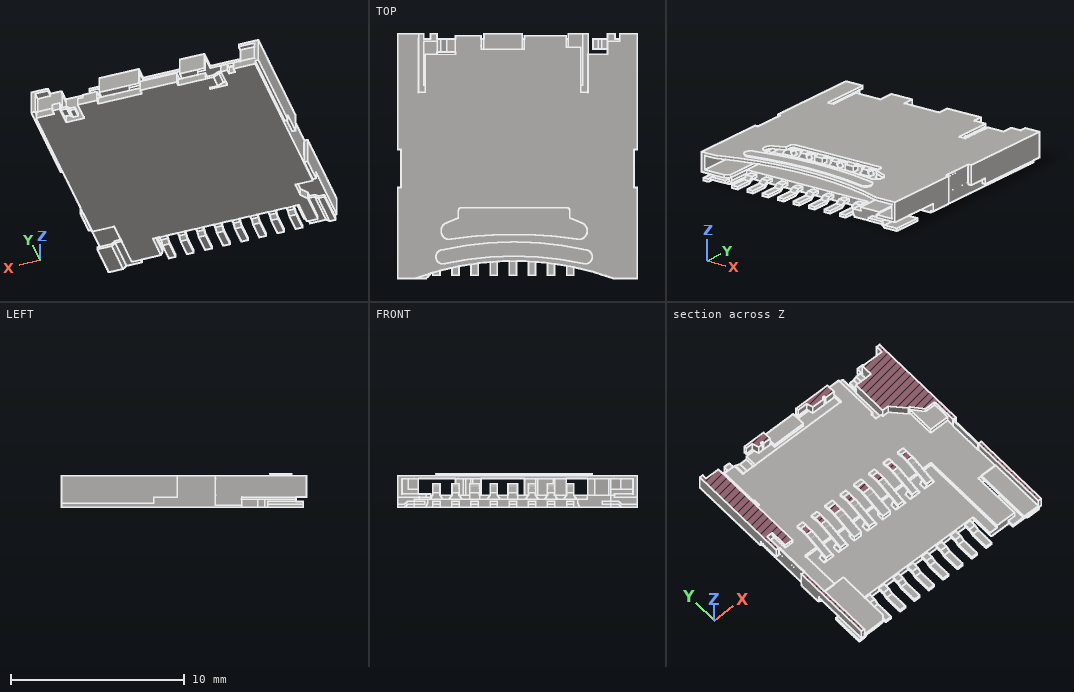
import cadquery as cq

length = 14.1
width = 13.8
height = 1.93
shell_top = 1.83
roof_thickness = 0.18
wall_thickness = 0.24
sheet = 0.17
jog_rise = 0.18
half_width = width / 2
inner_half = half_width - wall_thickness
ceiling = shell_top - roof_thickness
mouth_x = -0.2

recess_depth = 0.2
recess_face = -half_width + recess_depth
recess_front = 5.25
recess_rear = 7.43

wall_bottom_front = 0.59
wall_bottom_leg = 0.11
wall_bottom_rear = 0.24
leg_front = 3.74
rear_step = 8.78

base_half = half_width - recess_depth
floor_front_z = 0.48
floor_rear_z = 0.7
floor_step_y = 6.35
base_front = 2.05
arm_widest_y = 2.4
base_shoulder = 2.82
base_arm_front = 0.59
base_rear = 13.8
arm_left_outer = -5.95
arm_left_neck = -5.64
arm_left_inner = -5.17
arm_right_inner = 3.47
arm_right_outer = 5.36
right_ledge_x = 4.02

left_ridge_x = -5.39
left_bay = (-4.62, -3.58)
left_slit_rear = 13.03
right_bay = (4.07, 5.17)
right_ridge_x = 3.76

roof_corner_y = 12.92
roof_tab_y = 13.99
corner_step_y = 13.65
roof_notch_y = 13.21
slot_end_y = 10.72
left_slot = (-5.7, -5.32)
right_slot = (3.64, 4.07)
left_tab = (-3.58, -2.09)
right_tab = (0.4, 2.8)
left_tab_step = -3.12
left_tab_groove = -2.7
right_tab_step = 1.05
right_tab_groove = 2.05

contact_count = 8
contact_pitch = 1.1
contact_first_x = -4.67
contact_width = 0.42
contact_tip_y = 0.18
wide_contacts = (2, 4)
wide_spring_width = 0.56
flared_root_width = 0.73


def box(x0, x1, y0, y1, z0, z1):
    """Axis-aligned block between two opposite corners."""
    return cq.Workplane("XY").box(x1 - x0, y1 - y0, z1 - z0, centered=False).translate((x0, y0, z0))


def side_profile(points, x0, x1):
    """Extrude a (Y, Z) outline from x0 to x1."""
    return cq.Workplane("YZ").polyline(points).close().extrude(x1 - x0).translate((x0, 0, 0))


def front_profile(points, y0, y1):
    """Extrude an (X, Z) outline from y0 to y1."""
    return cq.Workplane("XZ").polyline(points).close().extrude(y0 - y1).translate((0, y0, 0))


def roof():
    """Flat roof with a concave mouth and a stepped rear edge."""
    mouth_half = 5.74
    mouth_depth = 1.02
    notch_right_x = 5.2
    corner_right_x = 5.88
    notch_near_slot_y = 13.32
    plate = (
        cq.Workplane("XY")
        .moveTo(-half_width, 0)
        .lineTo(mouth_x - mouth_half, 0)
        .threePointArc((mouth_x, mouth_depth), (mouth_x + mouth_half, 0))
        .lineTo(half_width, 0)
        .lineTo(half_width, length)
        .lineTo(corner_right_x, length)
        .lineTo(corner_right_x, corner_step_y)
        .lineTo(notch_right_x, corner_step_y)
        .lineTo(notch_right_x, roof_corner_y)
        .lineTo(right_slot[1], roof_corner_y)
        .lineTo(right_slot[1], slot_end_y)
        .lineTo(right_slot[0], slot_end_y)
        .lineTo(right_slot[0], notch_near_slot_y)
        .lineTo(right_tab[1], notch_near_slot_y)
        .lineTo(right_tab[1], roof_tab_y)
        .lineTo(right_tab[0], roof_tab_y)
        .lineTo(right_tab[0], roof_notch_y)
        .lineTo(left_tab[1], roof_notch_y)
        .lineTo(left_tab[1], roof_tab_y)
        .lineTo(left_tab[0], roof_tab_y)
        .lineTo(left_tab[0], roof_corner_y)
        .lineTo(left_slot[1], roof_corner_y)
        .lineTo(left_slot[1], slot_end_y)
        .lineTo(left_slot[0], slot_end_y)
        .lineTo(left_slot[0], length)
        .lineTo(-half_width, length)
        .close()
        .extrude(roof_thickness)
    )
    return plate.translate((0, 0, ceiling))


def roof_window():
    """Cutter for the roof window: a square top widening into two rounded lobes."""
    top_y = 4.09
    top_half = 3.2
    shoulder_y = 3.5
    lobe_top = (3.98, 3.17)
    lobe_side = (4.2, 2.72)
    lobe_bottom = (3.8, 2.25)
    bottom_peak_y = 2.55
    corner_radius = 0.17
    cutter = (
        cq.Workplane("XY")
        .moveTo(-top_half, top_y)
        .lineTo(-top_half, shoulder_y)
        .lineTo(-lobe_top[0], lobe_top[1])
        .threePointArc((-lobe_side[0], lobe_side[1]), (-lobe_bottom[0], lobe_bottom[1]))
        .threePointArc((0, bottom_peak_y), lobe_bottom)
        .threePointArc(lobe_side, lobe_top)
        .lineTo(top_half, shoulder_y)
        .lineTo(top_half, top_y)
        .close()
        .extrude(roof_thickness)
        .edges("|Z and >Y")
        .fillet(corner_radius)
    )
    return cutter.translate((mouth_x, 0, ceiling))


def roof_rib():
    """Raised curved rib with round ends, slightly undercut at its foot."""
    end_x = 4.09
    end_y = 1.25
    middle_y = 1.7
    radius = 0.41
    undercut_angle = 35
    rib_height = height - shell_top
    rib = (
        cq.Workplane("XY")
        .moveTo(-end_x, end_y + radius)
        .threePointArc((0, middle_y + radius), (end_x, end_y + radius))
        .threePointArc((end_x + radius, end_y), (end_x, end_y - radius))
        .threePointArc((0, middle_y - radius), (-end_x, end_y - radius))
        .threePointArc((-end_x - radius, end_y), (-end_x, end_y + radius))
        .close()
        .extrude(-rib_height, taper=undercut_angle)
    )
    return rib.translate((mouth_x, 0, height))


def side_wall():
    """Left wall with its stepped lower edge."""
    outline = [
        (0, shell_top),
        (0, wall_bottom_front),
        (leg_front, wall_bottom_front),
        (leg_front, wall_bottom_leg),
        (recess_front, wall_bottom_leg),
        (recess_front, wall_bottom_front),
        (rear_step, wall_bottom_front),
        (rear_step, wall_bottom_rear),
        (length, wall_bottom_rear),
        (length, shell_top),
    ]
    return side_profile(outline, -half_width, -inner_half)


def side_recess():
    """Cutter for the shallow recess in the left wall."""
    return box(-half_width, recess_face, recess_front, recess_rear, 0, shell_top)


def recess_wall():
    """Thin wall behind the left side recess, reaching down to the board."""
    thickness = 0.07
    return box(recess_face, recess_face + thickness, recess_front, recess_rear, 0, shell_top)


def mouth_flanges():
    """Strips folded inward from the lower front edge of both walls."""
    left_end = -4.99
    right_start = 5.57
    corner_cut = 0.27
    top = wall_bottom_front + roof_thickness
    left = box(-half_width, left_end, 0, leg_front, wall_bottom_front, top)
    left = left.edges("|Z and >X and <Y").chamfer(corner_cut)
    right = box(right_start, half_width, 0, leg_front, wall_bottom_front, top)
    return left.union(right)


def rear_tab(span, thick_start, groove_start):
    """Roof tab folded down to the floor, thicker past a steep step and grooved in its front face."""
    step_run = 0.13
    thick_front_y = 13.4
    groove_width = 0.11
    groove_depth = 0.14
    thin_front_y = roof_tab_y - roof_thickness
    outline = [
        (span[0], roof_tab_y),
        (span[0], thin_front_y),
        (thick_start, thin_front_y),
        (thick_start + step_run, thick_front_y),
        (span[1], thick_front_y),
        (span[1], roof_tab_y),
    ]
    tab_height = shell_top - floor_rear_z
    tab = cq.Workplane("XY").polyline(outline).close().extrude(tab_height).translate((0, 0, floor_rear_z))
    groove_rear_y = thick_front_y + groove_depth
    groove_end = groove_start + groove_width
    groove = box(groove_start, groove_end, thick_front_y, groove_rear_y, floor_rear_z, ceiling)
    return tab.cut(groove)


def make_shell():
    shell = roof().cut(roof_window())
    wall = side_wall()
    shell = shell.union(wall).union(wall.mirror("YZ"))
    recess = side_recess()
    shell = shell.cut(recess).cut(recess.mirror("YZ"))
    shell = shell.union(rear_tab(left_tab, left_tab_step, left_tab_groove))
    shell = shell.union(rear_tab(right_tab, right_tab_step, right_tab_groove))
    backing = recess_wall()
    shell = shell.union(backing).union(backing.mirror("YZ"))
    return shell.union(mouth_flanges()).union(roof_rib())


def base_plate():
    """Floor plate with two front arms, a gap behind the left sheet and an open right rear bay."""
    outline = [
        (-base_half, leg_front),
        (arm_left_neck, leg_front),
        (arm_left_neck, base_shoulder),
        (arm_left_outer, arm_widest_y),
        (arm_left_outer, base_arm_front),
        (arm_left_inner, base_arm_front),
        (arm_left_inner, base_front),
        (arm_right_inner, base_front),
        (arm_right_inner, base_arm_front),
        (arm_right_outer, base_arm_front),
        (arm_right_outer, leg_front),
        (base_half, leg_front),
        (base_half, base_rear),
        (right_bay[1], base_rear),
        (right_bay[1], roof_corner_y),
        (right_bay[0], roof_corner_y),
        (right_bay[0], base_rear),
        (left_bay[1], base_rear),
        (left_bay[1], roof_corner_y),
        (left_bay[0], roof_corner_y),
        (left_bay[0], base_rear),
        (-base_half, base_rear),
    ]
    return cq.Workplane("XY").polyline(outline).close().extrude(floor_front_z)


def arm_bevels():
    """Cutters that slope the lower inner edges of both front arms."""
    bevel_width = 0.11
    bevel_height = 0.25
    left = [(arm_left_inner, 0), (arm_left_inner - bevel_width, 0), (arm_left_inner, bevel_height)]
    right = [(arm_right_inner, 0), (arm_right_inner + bevel_width, 0), (arm_right_inner, bevel_height)]
    cutter = front_profile(left, base_arm_front, base_front)
    return cutter.union(front_profile(right, base_arm_front, base_front))


def raised_floor():
    """Higher floor towards the rear, along both sides and on the right front arm."""
    rear = box(-base_half, base_half, floor_step_y, roof_corner_y, floor_front_z, floor_rear_z)
    ledge = box(right_ledge_x, arm_right_outer, base_arm_front, floor_step_y, floor_front_z, floor_rear_z)
    left = box(-base_half, arm_left_neck, leg_front, floor_step_y, floor_front_z, floor_rear_z)
    right = box(arm_right_outer, base_half, leg_front, floor_step_y, floor_front_z, floor_rear_z)
    return rear.union(ledge).union(left).union(right)


def rear_feet():
    """Blocks that reach the rear face of the socket."""
    middle_foot = (-1.93, 0.28)
    right_foot = (2.92, right_slot[1])
    small_left_foot = (-5.02, left_bay[0])
    small_right_foot = (right_bay[1], 5.61)
    corner_foot = box(-base_half, left_ridge_x, base_rear, length, 0, floor_front_z)
    feet = corner_foot.union(box(*middle_foot, roof_notch_y, length, 0, floor_rear_z))
    feet = feet.union(box(*right_foot, roof_corner_y, length, 0, floor_rear_z))
    for span in (small_left_foot, small_right_foot):
        feet = feet.union(box(*span, corner_step_y, length, 0, floor_front_z))
    return feet.union(box(left_ridge_x, left_bay[0], roof_corner_y, corner_step_y, 0, floor_rear_z))


def slot_grooves():
    """Cutters that lower the floor under the roof slots, leaving a narrow ridge along each."""
    ridge_end_y = 11.14
    left = box(left_slot[0], left_ridge_x, slot_end_y, length, floor_front_z, floor_rear_z)
    left_end = box(*left_slot, slot_end_y, ridge_end_y, floor_front_z, floor_rear_z)
    right = box(right_ridge_x, right_slot[1], slot_end_y, length, floor_front_z, floor_rear_z)
    right_end = box(*right_slot, slot_end_y, ridge_end_y, floor_front_z, floor_rear_z)
    return left.union(left_end).union(right).union(right_end)


def card_guides():
    """Blocks that fill the shell beside the card, with sloped lead-ins on the right."""
    left_inner = -5.71
    left_front = 8.46
    left_nose_x = -6.29
    nose_length = 1.13
    nose_z = 1.06
    right_inner = 4.03
    right_flat_end = 4.45
    right_lead_end = 5.25
    right_rear = 10.58
    right_middle = 9.73
    right_front = 9.02
    outer_lead_start = 5.36
    outer_lead_end = 5.95
    left = box(-inner_half, left_inner, left_front, base_rear, 0, ceiling)
    left = left.union(box(left_nose_x, left_inner, left_front - nose_length, left_front, nose_z, ceiling))
    right = (
        cq.Workplane("XY")
        .moveTo(right_inner, roof_corner_y)
        .lineTo(right_inner, right_rear)
        .lineTo(right_flat_end, right_rear)
        .lineTo(right_lead_end, right_middle)
        .lineTo(outer_lead_start, right_middle)
        .lineTo(outer_lead_end, right_front)
        .lineTo(inner_half, right_front)
        .lineTo(inner_half, corner_step_y)
        .lineTo(right_bay[1], corner_step_y)
        .lineTo(right_bay[1], roof_corner_y)
        .close()
        .extrude(ceiling)
    )
    shelf = box(outer_lead_start, inner_half, right_front - nose_length, right_middle, 0, nose_z)
    return left.union(right).union(shelf)


def make_base():
    base = base_plate().cut(arm_bevels()).union(raised_floor()).union(rear_feet())
    return base.cut(slot_grooves()).union(card_guides())


def jogged_strip(x_low, x_foot, x_step, x_high, y0, y1):
    """Sheet lying on the board from x_low, jogged upward between x_foot and x_step."""
    outline = [
        (x_low, 0),
        (x_foot, 0),
        (x_step, jog_rise),
        (x_high, jog_rise),
        (x_high, jog_rise + sheet),
        (x_step, jog_rise + sheet),
        (x_foot, sheet),
        (x_low, sheet),
    ]
    return front_profile(outline, y0, y1)


def solder_tabs():
    """Jogged solder tabs at the two front corners and in the two rear bays."""
    front_tab_rear = 2.23
    right_rear_end = 4.34
    left_front_jog = (-6.53, -6.32)
    left_front_end = -5.33
    right_front_jog = (6.02, 5.81)
    right_front_end = 4.86
    left_rear_jog = (-4.07, -4.41)
    right_rear_jog = (4.65, 4.84)
    front = (contact_tip_y, front_tab_rear)
    left_rear = (left_slit_rear, base_rear)
    right_rear = (roof_notch_y, base_rear)
    tabs = jogged_strip(-half_width, *left_front_jog, left_front_end, *front)
    tabs = tabs.union(jogged_strip(half_width, *right_front_jog, right_front_end, *front))
    tabs = tabs.union(jogged_strip(left_bay[1], *left_rear_jog, left_bay[0], *left_rear))
    return tabs.union(jogged_strip(right_rear_end, *right_rear_jog, right_bay[1], *right_rear))


def contact_tail():
    """Solder tail lying on the board and jogged up into the base."""
    bend_y = 1.34
    step_y = 1.62
    embedded_length = 0.28
    end_y = base_front + embedded_length
    outline = [
        (contact_tip_y, 0),
        (bend_y, 0),
        (step_y, jog_rise),
        (end_y, jog_rise),
        (end_y, jog_rise + sheet),
        (step_y, jog_rise + sheet),
        (bend_y, sheet),
        (contact_tip_y, sheet),
    ]
    return side_profile(outline, -contact_width / 2, contact_width / 2)


def contact_spring(spring_width, root_width):
    """Spring that rises from a flared root on the floor into the card space."""
    thickness = 0.13
    root_y = 5.36
    root_top = floor_rear_z
    front_top = 0.83
    upper = [
        (root_y, front_top),
        (6.77, 1.24),
        (7.33, 1.37),
        (7.9, 1.24),
    ]
    lower = [(y, z - thickness) for y, z in reversed(upper)]
    spring = side_profile(upper + lower, -spring_width / 2, spring_width / 2)
    root_length = 0.42
    root_peak = front_top - thickness / 2
    root = [
        (-root_width / 2, floor_front_z),
        (root_width / 2, floor_front_z),
        (spring_width / 2, root_top),
        (spring_width / 2, root_peak),
        (-spring_width / 2, root_peak),
        (-spring_width / 2, root_top),
    ]
    return spring.union(front_profile(root, root_y, root_y + root_length))


result = make_shell().union(make_base()).union(solder_tabs())
for index in range(contact_count):
    x = contact_first_x + index * contact_pitch
    if index in wide_contacts:
        spring = contact_spring(wide_spring_width, wide_spring_width)
    else:
        spring = contact_spring(contact_width, flared_root_width)
    result = result.union(spring.union(contact_tail()).translate((x, 0, 0)))